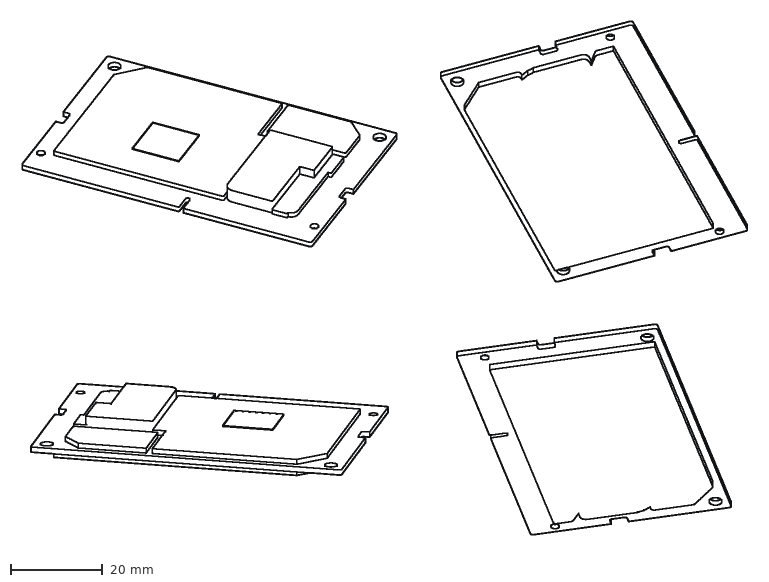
import cadquery as cq
import math


underside_height = 1.4
board_thickness = 1.2
shield_height = 1.1
chip_height = 0.2
tall_block_height = 3.1
board_bottom = underside_height
board_top = board_bottom + board_thickness
shield_top = board_top + shield_height

small_corner_radius = 0.25

board_length = 69.6
board_width = 45.0
board_corner_radius = 0.6
large_hole_diameter = 2.8
large_hole_inset = 3.0
large_hole_y = 42.1
small_hole_diameter = 1.8
small_hole_inset = 2.0
small_hole_y = 5.9
side_notch_depth = 1.75
side_notch_width = 3.9
side_notch_y = 19.95
side_notch_radius = 0.5
key_slot_width = 1.0
key_slot_depth = 4.0
key_slot_x = board_length / 2 + 3.5

shield_left = 4.85
shield_front = 6.3
shield_back = 43.3
shield_corner_cut = 5.5

main_right = 45.6
main_step_x = 42.7
main_step_y = 30.65

low_front = 6.25
low_right = 63.3
low_step_x = 62.55
low_step_y = 24.0
low_front_right = 60.9
low_corner_radius = low_step_x - low_front_right
low_corner_start_y = 8.4

cover_left = 44.1
cover_right = 63.05
cover_front = 32.1
cover_corner_cut = 3.8
cover_corner_radius = 0.4

tall_right = 60.6
tall_front = 6.6
tall_step_x = 57.2
tall_step_y = 20.9
tall_corner_radius = 2.0

chip_left = 20.1
chip_front = 14.1
chip_length = 11.2
chip_width = 10.75

underside_right = 64.8
back_notch_back = 28.95
back_notch_radius = 0.75
back_notch_ramp_width = 1.7
back_notch_ramp_angle = 28.7
back_notch_arc_width = 1.45
back_notch_arc_depth = 0.39
back_notch_arc_radius = 4.5
front_notch_back = 13.85
front_notch_back_radius = 1.4
front_notch_ramp_width = 1.7
front_notch_ramp_angle = 52.3
front_notch_front_radius = 0.9


def box(left, front, bottom, length, width, height):
    """Axis-aligned box given by its lowest corner and its size."""
    return cq.Workplane("XY").box(length, width, height, centered=False).translate((left, front, bottom))


def board():
    plate = box(0, 0, board_bottom, board_length, board_width, board_thickness)
    plate = plate.edges("|Z").fillet(board_corner_radius)

    def drill(body, diameter, inset, y):
        centres = [(inset, y), (board_length - inset, y)]
        holes = (
            cq.Workplane("XY", origin=(0, 0, board_bottom))
            .pushPoints(centres)
            .circle(diameter / 2)
            .extrude(board_thickness)
        )
        return body.cut(holes)

    plate = drill(plate, large_hole_diameter, large_hole_inset, large_hole_y)
    plate = drill(plate, small_hole_diameter, small_hole_inset, small_hole_y)

    for edge_x in (0, board_length):
        notch = box(
            edge_x - side_notch_depth,
            side_notch_y - side_notch_width / 2,
            board_bottom,
            2 * side_notch_depth,
            side_notch_width,
            board_thickness,
        )
        plate = plate.cut(notch.edges("|Z").fillet(side_notch_radius))

    key_slot_left = key_slot_x - key_slot_width / 2
    key_slot_right = key_slot_left + key_slot_width
    key_slot_arc_y = key_slot_depth - key_slot_width / 2
    key_slot = (
        cq.Workplane("XY", origin=(0, 0, board_bottom))
        .moveTo(key_slot_left, 0)
        .lineTo(key_slot_right, 0)
        .lineTo(key_slot_right, key_slot_arc_y)
        .threePointArc((key_slot_x, key_slot_depth), (key_slot_left, key_slot_arc_y))
        .close()
        .extrude(board_thickness)
    )
    plate = plate.cut(key_slot)

    key_slot_mouth = cq.selectors.BoxSelector(
        (key_slot_left - key_slot_width, -key_slot_width, board_bottom),
        (key_slot_right + key_slot_width, key_slot_width, board_top),
    )
    return plate.edges("|Z").edges(key_slot_mouth).fillet(small_corner_radius)


def main_shield():
    outline = [
        (shield_left, shield_front),
        (main_right, shield_front),
        (main_right, main_step_y),
        (main_step_x, main_step_y),
        (main_step_x, shield_back),
        (shield_left + shield_corner_cut, shield_back),
        (shield_left, shield_back - shield_corner_cut),
    ]
    shield = cq.Workplane("XY", origin=(0, 0, board_top)).polyline(outline).close().extrude(shield_height)
    return shield.edges("|Z and <Y").fillet(small_corner_radius)


def low_shield():
    arc_start_y = low_corner_start_y
    arc_end_y = arc_start_y - low_corner_radius
    shield = (
        cq.Workplane("XY", origin=(0, 0, board_top))
        .moveTo(tall_step_x, low_front)
        .lineTo(low_front_right, low_front)
        .lineTo(low_front_right, arc_end_y)
        .radiusArc((low_step_x, arc_start_y), -low_corner_radius)
        .lineTo(low_step_x, low_step_y)
        .lineTo(low_right, low_step_y)
        .lineTo(low_right, main_step_y)
        .lineTo(tall_step_x, main_step_y)
        .close()
        .extrude(shield_height)
    )
    shield = shield.edges("|Z and <Y").fillet(small_corner_radius)
    return shield.edges("|Z and >X").fillet(small_corner_radius)


def small_cover():
    length = cover_right - cover_left
    width = shield_back - cover_front
    cover = box(cover_left, cover_front, board_top, length, width, shield_height)
    cover = cover.edges("|Z and >X and >Y").chamfer(cover_corner_cut)
    return cover.edges("|Z and <Y").fillet(cover_corner_radius)


def tall_block():
    outline = [
        (main_right, tall_front),
        (tall_step_x, tall_front),
        (tall_step_x, tall_step_y),
        (tall_right, tall_step_y),
        (tall_right, main_step_y),
        (main_right, main_step_y),
    ]
    block = cq.Workplane("XY", origin=(0, 0, board_top)).polyline(outline).close().extrude(tall_block_height)
    block = block.edges("|Z and >Y").fillet(small_corner_radius)
    block = block.edges("|Z and <Y").edges(">X").fillet(small_corner_radius)
    return block.edges("|Z and <X and <Y").fillet(tall_corner_radius)


def chip_lid():
    return box(chip_left, chip_front, shield_top, chip_length, chip_width, chip_height)


def underside_shield():
    back_drop_y = back_notch_back - back_notch_radius
    back_ramp_end_y = back_drop_y - back_notch_ramp_width
    back_notch_front = back_ramp_end_y - back_notch_arc_width
    back_ramp_end_x = shield_left + back_notch_arc_depth
    back_ramp_rise = back_notch_ramp_width * math.tan(math.radians(back_notch_ramp_angle))
    back_floor_x = back_ramp_end_x + back_ramp_rise

    front_drop_y = front_notch_back - front_notch_back_radius
    front_ramp_end_y = front_drop_y - front_notch_ramp_width
    ramp_angle = math.radians(front_notch_ramp_angle)
    front_notch_front = front_ramp_end_y - front_notch_front_radius * math.sin(ramp_angle)
    front_ramp_end_x = shield_left + front_notch_front_radius * (1 - math.cos(ramp_angle))
    front_floor_x = front_ramp_end_x + front_notch_ramp_width * math.tan(ramp_angle)

    return (
        cq.Workplane("XY")
        .moveTo(shield_left, shield_front)
        .lineTo(underside_right, shield_front)
        .lineTo(underside_right, shield_back)
        .lineTo(shield_left + shield_corner_cut, shield_back)
        .lineTo(shield_left, shield_back - shield_corner_cut)
        .lineTo(shield_left, back_notch_back)
        .radiusArc((shield_left + back_notch_radius, back_drop_y), -back_notch_radius)
        .lineTo(back_floor_x, back_drop_y)
        .lineTo(back_ramp_end_x, back_ramp_end_y)
        .radiusArc((shield_left, back_notch_front), back_notch_arc_radius)
        .lineTo(shield_left, front_notch_back)
        .radiusArc((shield_left + front_notch_back_radius, front_drop_y), -front_notch_back_radius)
        .lineTo(front_floor_x, front_drop_y)
        .lineTo(front_ramp_end_x, front_ramp_end_y)
        .radiusArc((shield_left, front_notch_front), -front_notch_front_radius)
        .close()
        .extrude(underside_height)
    )


result = board()
for component in (underside_shield, main_shield, low_shield, small_cover, tall_block, chip_lid):
    result = result.union(component())